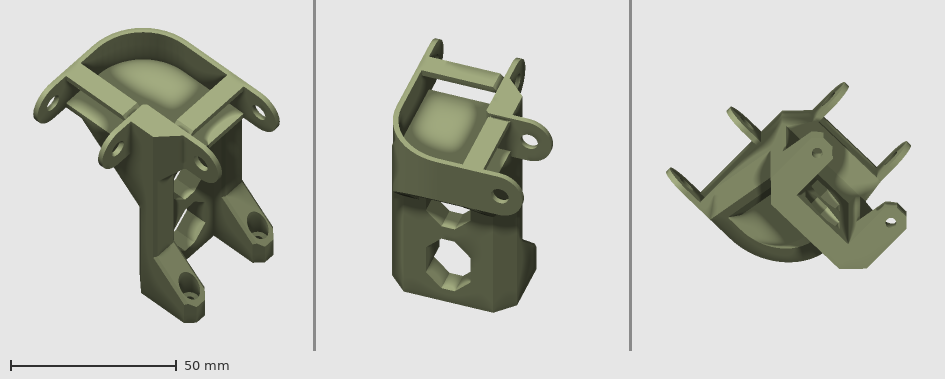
import cadquery as cq
import math

LENGTH_X = 57.4
WIDTH_Y = 53.1
HEIGHT = 80.25

STRAP_HEIGHT = 15.3
STRAP_THICKNESS = 1.7
BEND_RADIUS = 20.1
FLANGE_WIDTH = 5.85
LUG_GAP = 24.5
LUG_HOLE = 5.5
LUG_HOLE_TO_TIP = 7.1
PLATE_THICKNESS = 2.1
TRAY_END_X = 44.3
TIE_WIDTH = 6.6
TIE_STEP = 1.2
TIE_STEP_LAND = 0.5
BLOCK_CORNER = 1.0

TRAY_Z = HEIGHT - STRAP_HEIGHT
TRAY_BACK_Y = WIDTH_Y - FLANGE_WIDTH
FLOOR_TOP = TRAY_Z + PLATE_THICKNESS
LUG_RADIUS = STRAP_HEIGHT / 2
LUG_Z = TRAY_Z + LUG_RADIUS
LUG_START_X = LENGTH_X - LUG_RADIUS
LUG_START_Y = LUG_RADIUS
INNER_LUG_X = STRAP_THICKNESS + LUG_GAP
BLOCK_BACK_Y = TRAY_BACK_Y - STRAP_THICKNESS - LUG_GAP

LEG_WIDTH = 40.1
PLATE_DEPTH = 7.4
LEG_FRONT_X = 26.3
LEG_BACK_X = TRAY_END_X - TIE_WIDTH
PLATE_BACK_X = LEG_FRONT_X + PLATE_DEPTH
RAIL_WIDTH = 9.15
FRONT_CHAMFER = 5.6
BACK_CHAMFER = 0.9
FLANGE_TOP = 58.3

LEG_Y = WIDTH_Y - LEG_WIDTH
FAR_RAIL_Y = WIDTH_Y - RAIL_WIDTH
LEG_MID_Y = (LEG_Y + WIDTH_Y) / 2
STRUT_Z = TRAY_Z - (TRAY_END_X - LEG_BACK_X)
OVERHANG_Z = TRAY_Z - LEG_FRONT_X

FOOT_END_X = 52.0
FOOT_END_HEIGHT = 7.55
FOOT_CORNER = 2.65
FOOT_TOP = FOOT_END_HEIGHT + FOOT_END_X - LEG_BACK_X
BOLT_X = 47.35
BOLT_FROM_SIDE = 4.6
BOLT_HOLE = 3.2
COUNTERBORE = 6.5
COUNTERBORE_FLOOR = 5.0

POCKET_INSET = 5.0
POCKET_SIDE_Y = 21.2
POCKET_BEVEL = 2.4
WINDOW_WIDTH = 14.2
WINDOW_HEIGHT = 20.0
WINDOW_CORNER = 5.0
WINDOW_GAP = 5.0
WINDOW_COUNT = 2


def box(x0, x1, y0, y1, z0, z1):
    return cq.Workplane("XY").box(x1 - x0, y1 - y0, z1 - z0, centered=False).translate((x0, y0, z0))


def extrude_along_y(points, y0, y1):
    """Extrude an (x, z) outline from y0 to y1."""
    return cq.Workplane("XZ", origin=(0, y0, 0)).polyline(points).close().extrude(y0 - y1)


def extrude_along_z(points, z0, z1):
    """Extrude an (x, y) outline from z0 to z1."""
    return cq.Workplane("XY", origin=(0, 0, z0)).polyline(points).close().extrude(z1 - z0)


def bend_prism(inset, end_x, start_y, z0, z1):
    """Upright prism that follows the bent strap, set in from its outer face."""
    prism = box(inset, end_x, start_y, TRAY_BACK_Y - inset, z0, z1)
    return prism.edges("|Z and <X and >Y").fillet(BEND_RADIUS - inset)


def lug_x(y0, start_x):
    """Lug pointing along +X with its plate starting at y0."""
    lug = box(start_x, LUG_START_X, y0, y0 + STRAP_THICKNESS, TRAY_Z, HEIGHT)
    tip = cq.Workplane("XZ", origin=(LUG_START_X, y0, LUG_Z)).circle(LUG_RADIUS).extrude(-STRAP_THICKNESS)
    hole_center = (LENGTH_X - LUG_HOLE_TO_TIP, y0, LUG_Z)
    hole = cq.Workplane("XZ", origin=hole_center).circle(LUG_HOLE / 2).extrude(-STRAP_THICKNESS)
    return lug.union(tip).cut(hole)


def lug_y(x0, end_y):
    """Lug pointing along -Y with its plate starting at x0."""
    lug = box(x0, x0 + STRAP_THICKNESS, LUG_START_Y, end_y, TRAY_Z, HEIGHT)
    tip = cq.Workplane("YZ", origin=(x0, LUG_START_Y, LUG_Z)).circle(LUG_RADIUS).extrude(STRAP_THICKNESS)
    hole_center = (x0, LUG_HOLE_TO_TIP, LUG_Z)
    hole = cq.Workplane("YZ", origin=hole_center).circle(LUG_HOLE / 2).extrude(STRAP_THICKNESS)
    return lug.union(tip).cut(hole)


def tie_profile(start, end, step_at_end):
    """Side outline of a tie bar whose top steps down at 45 degrees next to the corner block."""
    low, high = HEIGHT - PLATE_THICKNESS, HEIGHT
    toward_bar = -1 if step_at_end else 1
    far, near = (start, end) if step_at_end else (end, start)
    land = near + toward_bar * TIE_STEP_LAND
    return [
        (far, low),
        (near, low),
        (near, high - TIE_STEP),
        (land, high - TIE_STEP),
        (land + toward_bar * TIE_STEP, high),
        (far, high),
    ]


def make_strap():
    outer = bend_prism(0, TRAY_END_X, LEG_Y, TRAY_Z, HEIGHT)
    inner = bend_prism(STRAP_THICKNESS, TRAY_END_X, LEG_Y, TRAY_Z, HEIGHT)
    strap = outer.cut(inner)
    strap = strap.union(lug_x(TRAY_BACK_Y - STRAP_THICKNESS, TRAY_END_X))
    return strap.union(lug_y(0, LEG_Y))


def beveled_plan():
    """Plan outline of the tray and strut, cut at 45 degrees at the near back corner."""
    lug_face_y = BLOCK_BACK_Y - STRAP_THICKNESS
    bevel_start_x = LEG_BACK_X - BACK_CHAMFER
    bevel_end_x = bevel_start_x + lug_face_y - LEG_Y
    return [
        (0, LEG_Y),
        (bevel_start_x, LEG_Y),
        (bevel_end_x, lug_face_y),
        (TRAY_END_X, lug_face_y),
        (TRAY_END_X, TRAY_BACK_Y),
        (0, TRAY_BACK_Y),
    ]


def make_block():
    """Solid corner block that carries the two inner lugs."""
    limits = box(INNER_LUG_X, TRAY_END_X, LEG_Y, BLOCK_BACK_Y, TRAY_Z, HEIGHT)
    block = extrude_along_z(beveled_plan(), TRAY_Z, HEIGHT).intersect(limits)
    block = block.edges("|Z and <X and >Y").chamfer(BLOCK_CORNER)
    block = block.union(lug_x(BLOCK_BACK_Y - STRAP_THICKNESS, LEG_BACK_X))
    return block.union(lug_y(INNER_LUG_X, LEG_Y + STRAP_THICKNESS))


def make_floor():
    plan = bend_prism(0, TRAY_END_X, LEG_Y, TRAY_Z, FLOOR_TOP)
    return plan.intersect(extrude_along_z(beveled_plan(), TRAY_Z, FLOOR_TOP))


def make_ties():
    along_x = extrude_along_y(tie_profile(STRAP_THICKNESS, INNER_LUG_X, True), LEG_Y, LEG_Y + TIE_WIDTH)
    side = tie_profile(BLOCK_BACK_Y, TRAY_BACK_Y - STRAP_THICKNESS, False)
    along_y = cq.Workplane("YZ", origin=(LEG_BACK_X, 0, 0)).polyline(side).close().extrude(TIE_WIDTH)
    return along_x.union(along_y)


def make_front_body():
    """Leg plate with the 45 degree overhang that carries the tray."""
    side = [
        (0, TRAY_Z),
        (LEG_FRONT_X, OVERHANG_Z),
        (LEG_FRONT_X, 0),
        (PLATE_BACK_X, 0),
        (PLATE_BACK_X, TRAY_Z),
    ]
    body = extrude_along_y(side, LEG_Y, TRAY_BACK_Y)
    margin = 0.8
    front_edges = cq.selectors.BoxSelector(
        (0, LEG_Y - margin, margin), (LEG_FRONT_X + margin, LEG_Y + margin, TRAY_Z - margin)
    )
    body = body.edges(front_edges).chamfer(FRONT_CHAMFER)
    return body.intersect(bend_prism(0, PLATE_BACK_X, LEG_Y, 0, TRAY_Z))


def make_flange():
    """Strip of the plate that stands out beyond the strap, beveled over its whole width."""
    plan = [
        (LEG_FRONT_X, TRAY_BACK_Y),
        (LEG_FRONT_X + FLANGE_WIDTH, WIDTH_Y),
        (PLATE_BACK_X, WIDTH_Y),
        (PLATE_BACK_X, TRAY_BACK_Y),
    ]
    return extrude_along_z(plan, 0, TRAY_Z)


def make_rail(y0):
    """Upright rail with its foot, beveled along the back edges and at the foot corners."""
    side = [
        (PLATE_BACK_X, 0),
        (FOOT_END_X, 0),
        (FOOT_END_X, FOOT_END_HEIGHT),
        (LEG_BACK_X, FOOT_TOP),
        (LEG_BACK_X, TRAY_Z),
        (PLATE_BACK_X, TRAY_Z),
    ]
    y1 = y0 + RAIL_WIDTH
    rail = extrude_along_y(side, y0, y1)
    for y in (y0, y1):
        upright = cq.selectors.NearestToPointSelector((LEG_BACK_X, y, (FOOT_TOP + TRAY_Z) / 2))
        slope_mid = ((LEG_BACK_X + FOOT_END_X) / 2, y, (FOOT_TOP + FOOT_END_HEIGHT) / 2)
        slope = cq.selectors.NearestToPointSelector(slope_mid)
        rail = rail.edges(upright + slope).chamfer(BACK_CHAMFER)
    foot_plan = box(PLATE_BACK_X, FOOT_END_X, y0, y1, 0, TRAY_Z)
    return rail.intersect(foot_plan.edges("|Z and >X").chamfer(FOOT_CORNER))


def make_strut():
    """Sloped bracket between the leg and the overhanging back of the tray."""
    side = [
        (PLATE_BACK_X, STRUT_Z),
        (LEG_BACK_X, STRUT_Z),
        (TRAY_END_X, TRAY_Z),
        (PLATE_BACK_X, TRAY_Z),
    ]
    strut = extrude_along_y(side, LEG_Y, TRAY_BACK_Y)
    return strut.intersect(extrude_along_z(beveled_plan(), STRUT_Z, TRAY_Z))


def flange_cap():
    """Space above the flange, which slopes down at 45 degrees away from the strap."""
    side = [
        (TRAY_BACK_Y, FLANGE_TOP),
        (WIDTH_Y, FLANGE_TOP - FLANGE_WIDTH),
        (WIDTH_Y, TRAY_Z),
        (TRAY_BACK_Y, TRAY_Z),
    ]
    return cq.Workplane("YZ").polyline(side).close().extrude(LENGTH_X)


def pocket():
    """Hollow under the tray; its near side is beveled square to the overhang face."""
    top = TRAY_Z - POCKET_INSET
    deep_y = POCKET_SIDE_Y + POCKET_BEVEL
    deep = bend_prism(POCKET_INSET, LEG_FRONT_X, deep_y, 0, top)
    side_box = box(0, LEG_FRONT_X, POCKET_SIDE_Y, deep_y, 0, top)
    overhang_plane = cq.Plane(origin=(LEG_FRONT_X, 0, OVERHANG_Z), xDir=(0, 1, 0), normal=(-1, 0, 1))
    overhang_length = LEG_FRONT_X * math.sqrt(2)
    wedge = (
        cq.Workplane(overhang_plane)
        .polyline([(POCKET_SIDE_Y, 0), (deep_y, 0), (deep_y, -POCKET_BEVEL)])
        .close()
        .extrude(overhang_length, both=True)
    )
    return deep.union(side_box.intersect(wedge))


def window(index):
    """Opening through the plate: a rectangle with 45 degree corners."""
    z0 = WINDOW_GAP + index * (WINDOW_HEIGHT + WINDOW_GAP)
    y0 = LEG_MID_Y - WINDOW_WIDTH / 2
    opening = box(LEG_FRONT_X, PLATE_BACK_X, y0, y0 + WINDOW_WIDTH, z0, z0 + WINDOW_HEIGHT)
    return opening.edges("|X").chamfer(WINDOW_CORNER)


def bolt_hole(y):
    """Counterbored bolt hole that runs up through a foot."""
    hole = cq.Workplane("XY", origin=(BOLT_X, y, 0)).circle(BOLT_HOLE / 2).extrude(FOOT_TOP)
    counterbore = cq.Workplane("XY", origin=(BOLT_X, y, COUNTERBORE_FLOOR)).circle(COUNTERBORE / 2)
    return hole.union(counterbore.extrude(FOOT_TOP - COUNTERBORE_FLOOR))


leg = make_front_body().union(make_flange()).union(make_strut())
for rail_y in (LEG_Y, FAR_RAIL_Y):
    leg = leg.union(make_rail(rail_y))
leg = leg.cut(flange_cap()).cut(pocket())
for window_index in range(WINDOW_COUNT):
    leg = leg.cut(window(window_index))
for bolt_y in (LEG_Y + BOLT_FROM_SIDE, WIDTH_Y - BOLT_FROM_SIDE):
    leg = leg.cut(bolt_hole(bolt_y))

tray = make_strap().union(make_floor()).union(make_block()).union(make_ties())

result = leg.union(tray)